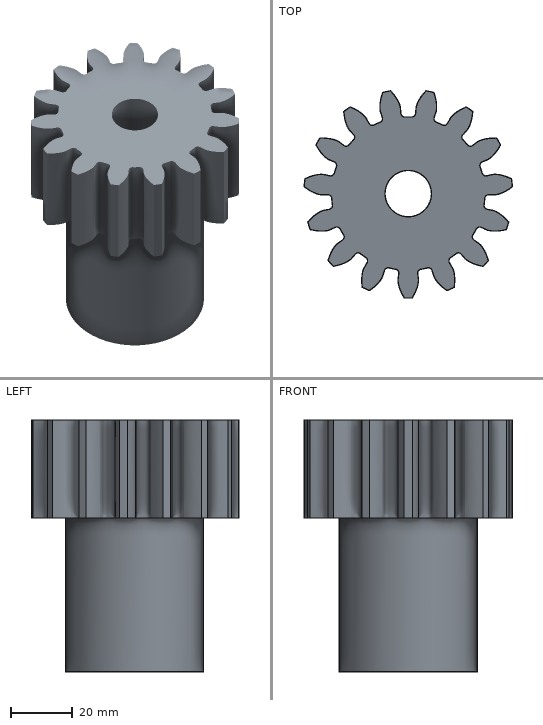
import cadquery as cq
import math

total_length = 82.0
gear_width = 32.0
hub_length = total_length - gear_width
hub_diameter = 45.0
bore_diameter = 15.0

tooth_count = 15
tip_diameter = 68.0
pressure_angle = math.radians(20)
dedendum_factor = 1.25
root_fillet = 1.2

module = tip_diameter / (tooth_count + 2)
tip_radius = tip_diameter / 2
pitch_radius = module * tooth_count / 2
base_radius = pitch_radius * math.cos(pressure_angle)
root_radius = pitch_radius - dedendum_factor * module

tooth_pitch = 2 * math.pi / tooth_count
first_tooth_angle = -math.pi / 2
flank_samples = 7


def involute(angle):
    """Polar angle swept by the involute where its pressure angle is `angle`."""
    return math.tan(angle) - angle


base_half_angle = tooth_pitch / 4 + involute(pressure_angle)


def polar(radius, angle):
    return (radius * math.cos(angle), radius * math.sin(angle))


def flank_half_angle(radius):
    """Half of the angle that a tooth spans at a radius on its involute flank."""
    return base_half_angle - involute(math.acos(base_radius / radius))


def flank_points(centre, side):
    """Points from the base circle to the tip on one side (-1 or +1) of a tooth."""
    points = []
    for i in range(flank_samples):
        radius = base_radius + (tip_radius - base_radius) * i / (flank_samples - 1)
        points.append(polar(radius, centre + side * flank_half_angle(radius)))
    return points


def gear_outline():
    """Closed outline: radial root flank, involute, tip arc, and root arc for each tooth."""
    outline = cq.Workplane("XY").workplane(offset=hub_length)
    outline = outline.moveTo(*polar(root_radius, first_tooth_angle - base_half_angle))
    for i in range(tooth_count):
        centre = first_tooth_angle + i * tooth_pitch
        rising = flank_points(centre, -1)
        falling = flank_points(centre, 1)[::-1]
        outline = outline.lineTo(*rising[0])
        outline = outline.spline(rising[1:], includeCurrent=True)
        outline = outline.threePointArc(polar(tip_radius, centre), falling[0])
        outline = outline.spline(falling[1:], includeCurrent=True)
        outline = outline.lineTo(*polar(root_radius, centre + base_half_angle))
        gap_middle = polar(root_radius, centre + tooth_pitch / 2)
        next_tooth = polar(root_radius, centre + tooth_pitch - base_half_angle)
        outline = outline.threePointArc(gap_middle, next_tooth)
    return outline.close()


def near_root(edge):
    """True for the gear edges where the teeth meet the root circle."""
    centre = edge.Center()
    return math.hypot(centre.x, centre.y) < (root_radius + base_radius) / 2


gear = gear_outline().extrude(gear_width)
gear = gear.edges("|Z").filter(near_root).fillet(root_fillet)

hub = cq.Workplane("XY").circle(hub_diameter / 2).extrude(hub_length)
bore = cq.Workplane("XY").circle(bore_diameter / 2).extrude(total_length)

result = gear.union(hub).cut(bore)